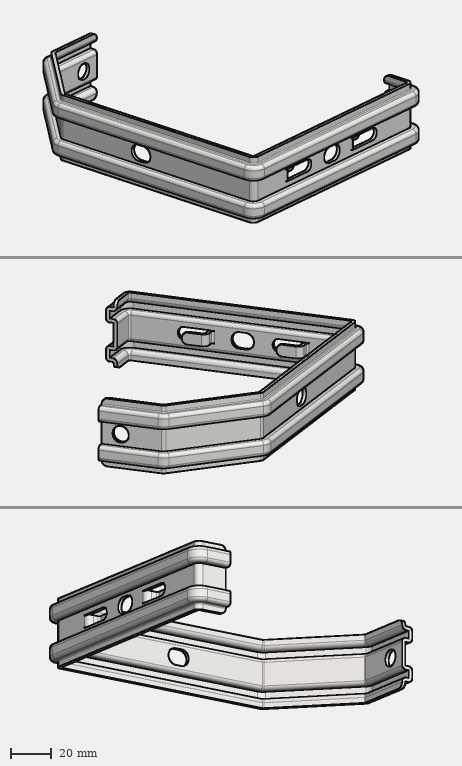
import cadquery as cq
import math

length = 168.0
depth = 130.0
height = 35.0
sheet = 2.0

rib_depth = 3 * sheet
rib_half_width = 2 * sheet
rib_offset = 5 * sheet
lip_bend_radius = 0.5
bend_radius = sheet / 2

left_leg_end = 74.0
diagonal_corner = 42.0
hook_length = 21.0
end_corner_radius = 3.0

hole_diameter = 8.5
slot_length = 12.0
left_hole_inset = 10.0
front_slot_x = 92.0

tab_width = 6.0
tab_standoff = 6.9
tab_length = 13.3
tab_foot_levels = (29.9, 80.0)
tab_tip_radius = 2.9
window_width = 6.5
window_length = 19.2

inner_left = rib_depth
inner_right = length - rib_depth
inner_front = rib_depth
inner_back = depth - rib_depth
hook_end = length - hook_length


def bend_path(corners, radius):
    """Open path in the XY plane through the corners, with every bend rounded."""
    points = [cq.Vector(x, y, 0) for x, y in corners]
    path = cq.Workplane("XY").moveTo(*corners[0])
    for before, corner, after in zip(points, points[1:], points[2:]):
        to_before = (before - corner).normalized()
        to_after = (after - corner).normalized()
        half_angle = to_before.getAngle(to_after) / 2
        setback = radius / math.tan(half_angle)
        middle_reach = radius / math.sin(half_angle) - radius
        start = corner + to_before * setback
        middle = corner + (to_before + to_after).normalized() * middle_reach
        end = corner + to_after * setback
        path = path.lineTo(start.x, start.y)
        path = path.threePointArc((middle.x, middle.y), (end.x, end.y))
    return path.lineTo(*corners[-1])


def strip_section():
    """Closed section on the left leg's end; local x points outwards from the inner face."""
    plane = cq.Plane(origin=(inner_left, left_leg_end, 0), xDir=(-1, 0, 0), normal=(0, 1, 0))
    crown = rib_depth
    hollow = rib_depth - sheet
    rib_low = rib_offset - rib_half_width
    rib_high = rib_offset + rib_half_width
    lip_start = rib_high + lip_bend_radius
    inner_lip_radius = lip_bend_radius + sheet
    hollow_low = rib_low + sheet
    hollow_high = rib_high - sheet
    section = (
        cq.Workplane(plane)
        .moveTo(0, -height / 2)
        .lineTo(sheet, -height / 2)
        .lineTo(sheet, -lip_start)
        .radiusArc((sheet + lip_bend_radius, -rib_high), lip_bend_radius)
        .lineTo(crown - sheet, -rib_high)
        .radiusArc((crown, -rib_high + sheet), -sheet)
        .lineTo(crown, -rib_low - sheet)
        .radiusArc((crown - sheet, -rib_low), -sheet)
        .lineTo(sheet, -rib_low)
        .lineTo(sheet, rib_low)
        .lineTo(crown - sheet, rib_low)
        .radiusArc((crown, rib_low + sheet), -sheet)
        .lineTo(crown, rib_high - sheet)
        .radiusArc((crown - sheet, rib_high), -sheet)
        .lineTo(sheet + lip_bend_radius, rib_high)
        .radiusArc((sheet, lip_start), lip_bend_radius)
        .lineTo(sheet, height / 2)
        .lineTo(0, height / 2)
        .lineTo(0, lip_start)
        .radiusArc((inner_lip_radius, hollow_high), -inner_lip_radius)
        .lineTo(hollow, hollow_high)
        .lineTo(hollow, hollow_low)
        .lineTo(sheet, hollow_low)
        .radiusArc((0, rib_low), -sheet)
        .lineTo(0, -rib_low)
        .radiusArc((sheet, -hollow_low), -sheet)
        .lineTo(hollow, -hollow_low)
        .lineTo(hollow, -hollow_high)
        .lineTo(inner_lip_radius, -hollow_high)
        .radiusArc((0, -lip_start), -inner_lip_radius)
    )
    return section.close()


def frame():
    corners = [
        (inner_left, left_leg_end),
        (inner_left, diagonal_corner),
        (diagonal_corner, inner_front),
        (inner_right, inner_front),
        (inner_right, inner_back),
        (hook_end, inner_back),
    ]
    return strip_section().sweep(bend_path(corners, bend_radius))


def round_end_corners(body):
    """Round the upper and lower strip corners at both free ends."""
    end_centres = (
        (inner_left - sheet / 2, left_leg_end),
        (hook_end, inner_back + sheet / 2),
    )
    for x, y in end_centres:
        for z in (-height / 2, height / 2):
            corner_edge = cq.selectors.NearestToPointSelector((x, y, z))
            body = body.edges(corner_edge).fillet(end_corner_radius)
    return body


def slot_cutter(plane, total_length, width):
    """Slot with round ends, long along the plane's local x, cutting through one wall."""
    blank = cq.Workplane(plane)
    if total_length > width:
        blank = blank.slot2D(total_length, width)
    else:
        blank = blank.circle(width / 2)
    return blank.extrude(sheet, both=True)


def side_wall_plane(x, y):
    """Plane facing +X with local x along +Y."""
    return cq.Plane(origin=(x, y, 0), xDir=(0, 1, 0), normal=(1, 0, 0))


def cut_holes(body):
    hole_y = left_leg_end - left_hole_inset
    front_plane = cq.Plane(origin=(front_slot_x, inner_front, 0), xDir=(1, 0, 0), normal=(0, -1, 0))
    body = body.cut(slot_cutter(side_wall_plane(inner_left, hole_y), hole_diameter, hole_diameter))
    body = body.cut(slot_cutter(front_plane, slot_length, hole_diameter))
    return body.cut(slot_cutter(side_wall_plane(inner_right, hole_y), slot_length, hole_diameter))


def tab_window(foot_y):
    """Opening left by a tab: square at the tab's root, round at the far end."""
    root_y = foot_y - bend_radius
    round_centre_y = root_y + window_length - window_width / 2
    window = (
        cq.Workplane(side_wall_plane(inner_right, 0))
        .moveTo(root_y, -window_width / 2)
        .lineTo(round_centre_y, -window_width / 2)
        .threePointArc((root_y + window_length, 0), (round_centre_y, window_width / 2))
        .lineTo(root_y, window_width / 2)
        .close()
    )
    return window.extrude(sheet, both=True)


def hanging_tab(foot_y):
    """Tab bent inwards from the wall, then up along +Y, with a round tip."""
    outer_radius = bend_radius + sheet
    root_y = foot_y - bend_radius
    outer_x = inner_right - tab_standoff
    inner_x = outer_x + sheet
    bend_x = inner_right - bend_radius
    tip_y = foot_y + tab_length
    cos45 = math.sqrt(0.5)
    root_middle = (bend_x + outer_radius * cos45, root_y + outer_radius * cos45)
    root_inner_middle = (bend_x + bend_radius * cos45, root_y + bend_radius * cos45)
    knee_x = outer_x + outer_radius
    knee_y = foot_y + outer_radius
    knee_middle = (knee_x - outer_radius * cos45, knee_y - outer_radius * cos45)
    knee_inner_middle = (knee_x - bend_radius * cos45, knee_y - bend_radius * cos45)
    profile = (
        cq.Workplane("XY")
        .workplane(offset=-tab_width / 2)
        .moveTo(inner_right, root_y)
        .lineTo(inner_right + sheet, root_y)
        .threePointArc(root_middle, (bend_x, foot_y + sheet))
        .lineTo(knee_x, foot_y + sheet)
        .threePointArc(knee_inner_middle, (inner_x, knee_y))
        .lineTo(inner_x, tip_y)
        .lineTo(outer_x, tip_y)
        .lineTo(outer_x, knee_y)
        .threePointArc(knee_middle, (knee_x, foot_y))
        .lineTo(bend_x, foot_y)
        .threePointArc(root_inner_middle, (inner_right, root_y))
        .close()
    )
    tab = profile.extrude(tab_width)
    return tab.faces(">Y").edges("|X").fillet(tab_tip_radius)


result = cut_holes(round_end_corners(frame()))
for foot_y in tab_foot_levels:
    result = result.cut(tab_window(foot_y)).union(hanging_tab(foot_y))